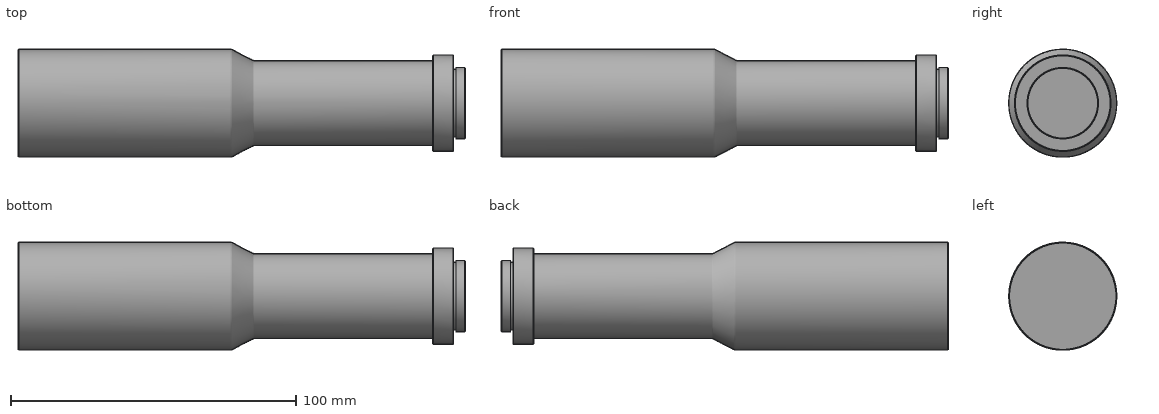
import cadquery as cq

total_length = 156.8
body_length = 74.8
taper_length = 7.8
neck_length = 62.7
collar_length = 7.4
groove_length = 0.8

body_diameter = 38.0
neck_diameter = 29.8
collar_diameter = 33.9
groove_diameter = 23.8
tip_diameter = 25.1

rim_chamfer = 0.3
taper_blend_radius = 1.0

taper_end = body_length + taper_length
neck_end = taper_end + neck_length
collar_end = neck_end + collar_length
groove_end = collar_end + groove_length


def cylinder(start, end, diameter):
    """Solid cylinder on the X axis between two axial positions."""
    return cq.Workplane("YZ", origin=(start, 0, 0)).circle(diameter / 2).extrude(end - start)


def tapered_barrel():
    """Body, cone and neck turned as one piece, with both ends of the cone blended."""
    profile = (
        cq.Workplane("XZ")
        .polyline([
            (0, 0),
            (0, body_diameter / 2),
            (body_length, body_diameter / 2),
            (taper_end, neck_diameter / 2),
            (neck_end, neck_diameter / 2),
            (neck_end, 0),
        ])
        .close()
    )
    barrel = profile.revolve(360, (0, 0, 0), (1, 0, 0))
    cone_edges = barrel.faces("%CONE").edges("%CIRCLE")
    barrel = cone_edges.fillet(taper_blend_radius)
    return barrel.faces("<X").edges().chamfer(rim_chamfer)


collar = cylinder(neck_end, collar_end, collar_diameter).edges("%CIRCLE").chamfer(rim_chamfer)
groove = cylinder(collar_end, groove_end, groove_diameter)
tip = cylinder(groove_end, total_length, tip_diameter).faces(">X").edges().chamfer(rim_chamfer)

result = tapered_barrel().union(collar).union(groove).union(tip)